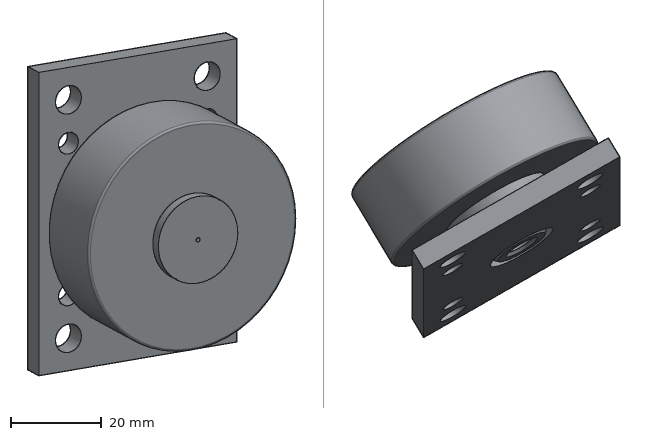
import cadquery as cq

PLATE_WIDTH = 50.0
PLATE_HEIGHT = 70.0
PLATE_THICKNESS = 5.0

HOLE_SPACING_Y = 35.0
LARGE_HOLE_DIAMETER = 6.5
LARGE_HOLE_SPACING_Z = 55.0
SMALL_HOLE_DIAMETER = 5.0
SMALL_HOLE_SPACING_Z = HOLE_SPACING_Y

PIN_DIAMETER = 16.0
PIN_CHAMFER = 2.0
COLLAR_DIAMETER = 25.0
WHEEL_DIAMETER = 52.5
WHEEL_START = 11.5
WHEEL_END = 29.5
WHEEL_EDGE_RADIUS = 0.5
BOSS_DIAMETER = 20.0
ROLLER_END = 32.0

BORE_DIAMETER = 6.5
BORE_DEPTH = 14.0
BORE_MOUTH_DIAMETER = 8.0
BORE_CHAMFER = (BORE_MOUTH_DIAMETER - BORE_DIAMETER) / 2
PASSAGE_DIAMETER = 1.0


def cylinder(diameter, start, end):
    """Cylinder on the X axis between two X positions."""
    return cq.Workplane("YZ").workplane(offset=start).circle(diameter / 2).extrude(end - start)


def hole_pattern(diameter, spacing_z):
    """Four cylinders through the plate at the corners of a rectangle."""
    return (
        cq.Workplane("YZ")
        .rect(HOLE_SPACING_Y, spacing_z, forConstruction=True)
        .vertices()
        .circle(diameter / 2)
        .extrude(PLATE_THICKNESS)
    )


def make_plate():
    """Rectangular plate with two hole patterns and a central seat for the pin."""
    blank = cq.Workplane("YZ").rect(PLATE_WIDTH, PLATE_HEIGHT).extrude(PLATE_THICKNESS)
    return (
        blank.cut(hole_pattern(LARGE_HOLE_DIAMETER, LARGE_HOLE_SPACING_Z))
        .cut(hole_pattern(SMALL_HOLE_DIAMETER, SMALL_HOLE_SPACING_Z))
        .cut(cylinder(PIN_DIAMETER, 0, PLATE_THICKNESS))
    )


def make_roller():
    """Stepped roller whose chamfered pin ends flush with the outer plate face."""
    pin = cylinder(PIN_DIAMETER, 0, PLATE_THICKNESS).faces("<X").chamfer(PIN_CHAMFER)
    collar = cylinder(COLLAR_DIAMETER, PLATE_THICKNESS, WHEEL_START)
    wheel = cylinder(WHEEL_DIAMETER, WHEEL_START, WHEEL_END).edges("%CIRCLE").fillet(WHEEL_EDGE_RADIUS)
    boss = cylinder(BOSS_DIAMETER, WHEEL_END, ROLLER_END)
    bore = cylinder(BORE_DIAMETER, 0, BORE_DEPTH)
    passage = cylinder(PASSAGE_DIAMETER, 0, ROLLER_END)
    return (
        pin.union(collar)
        .union(wheel)
        .union(boss)
        .cut(bore)
        .faces("<X")
        .edges(cq.selectors.RadiusNthSelector(0))
        .chamfer(BORE_CHAMFER)
        .cut(passage)
    )


plate = make_plate()
roller = make_roller()
result = cq.Compound.makeCompound([plate.val(), roller.val()])